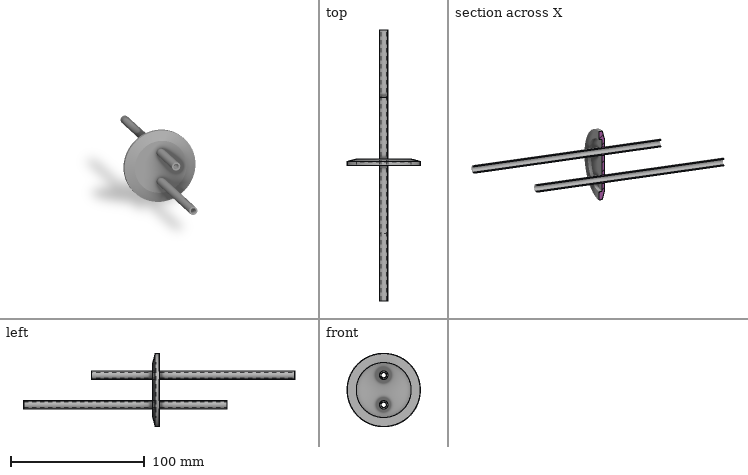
import cadquery as cq
import math

FLANGE_DIAMETER = 55.0
FLANGE_THICKNESS = 5.0
RIM_WIDTH = 3.0
CLAMP_ANGLE = 15.0

RECESS_DIAMETER = 41.2
RECESS_DEPTH = 2.5

TUBE_DIAMETER = 6.35
TUBE_BORE = 3.95
TUBE_SPACING = 22.2
LONG_REACH = 101.6
SHORT_REACH = LONG_REACH / 2
TUBE_LENGTH = LONG_REACH + SHORT_REACH

TUBE_PLACES = [
    (TUBE_SPACING / 2, -LONG_REACH),
    (-TUBE_SPACING / 2, -SHORT_REACH),
]


def rod(diameter, height, front, length):
    """Solid cylinder along +Y from Y = front, centred at Z = height."""
    plane = cq.Plane(origin=(0, front, height), xDir=(1, 0, 0), normal=(0, 1, 0))
    return cq.Workplane(plane).circle(diameter / 2).extrude(length)


def make_flange():
    """Disc with a conical back, a recessed sealing face and a hole for each tube."""
    outer_radius = FLANGE_DIAMETER / 2
    recess_radius = RECESS_DIAMETER / 2
    cone_run = (FLANGE_THICKNESS - RIM_WIDTH) / math.tan(math.radians(CLAMP_ANGLE))
    disc = (
        cq.Workplane("XY")
        .moveTo(0, RECESS_DEPTH)
        .lineTo(recess_radius, RECESS_DEPTH)
        .lineTo(recess_radius, 0)
        .lineTo(outer_radius, 0)
        .lineTo(outer_radius, RIM_WIDTH)
        .lineTo(outer_radius - cone_run, FLANGE_THICKNESS)
        .lineTo(0, FLANGE_THICKNESS)
        .close()
        .revolve(360, (0, 0, 0), (0, 1, 0))
    )
    for height, front in TUBE_PLACES:
        disc = disc.cut(rod(TUBE_DIAMETER, height, front, TUBE_LENGTH))
    return disc


def make_tube(height, front):
    """Straight tube with a through bore."""
    outside = rod(TUBE_DIAMETER, height, front, TUBE_LENGTH)
    return outside.cut(rod(TUBE_BORE, height, front, TUBE_LENGTH))


flange = make_flange()
tubes = [make_tube(height, front) for height, front in TUBE_PLACES]

result = cq.Compound.makeCompound([flange.val(), *[tube.val() for tube in tubes]])